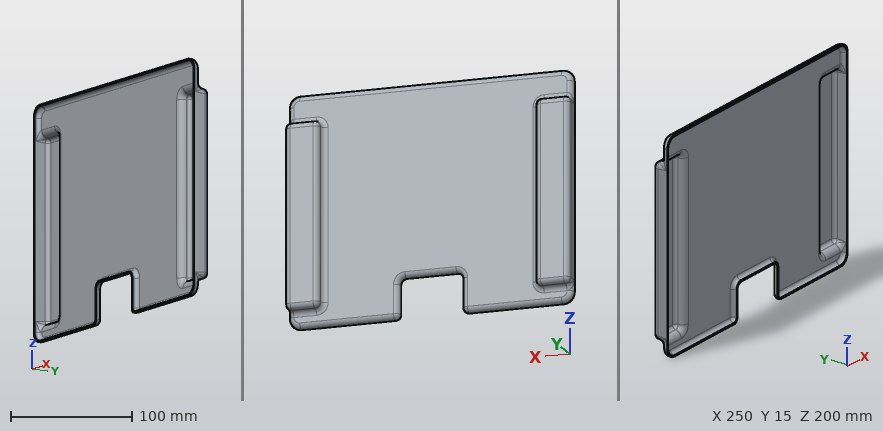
import cadquery as cq
import math

width = 250.0
height = 200.0
total_depth = 15.0
tray_depth = 6.0
wall = 1.5

corner_radius = 10.0
edge_radius = 5.0

notch_width = 55.0
notch_height = 35.0

pocket_floor_top = 70.0
pocket_floor_bottom = -80.0
pocket_floor_inner_x = 100.0
pocket_draft = math.radians(6.5)
blend_radius = 5.0

overrun = 25.0
tolerance = 0.02


def outline(points):
    """Closed outline of (x, z) points at y = 0, ready to extrude towards +Y."""
    front_plane = cq.Plane(origin=(0, 0, 0), xDir=(-1, 0, 0), normal=(0, 1, 0))
    return cq.Workplane(front_plane).polyline([(-x, z) for x, z in points]).close()


def back_edges(body, depth):
    """Edges that reach the back of a body."""
    return [edge for edge in body.edges().vals() if edge.BoundingBox().ymax > depth - tolerance]


def corners(body, x, z):
    """Edges along Y at (x, z) and at its mirror image (-x, z)."""
    found = []
    for edge in body.edges("|Y").vals():
        center = edge.Center()
        if abs(abs(center.x) - x) < tolerance and abs(center.z - z) < tolerance:
            found.append(edge)
    return found


def tray(inset):
    """Notched tray body; inset shifts every face except the open front inwards."""
    depth = tray_depth - inset
    side = width / 2 - inset
    top = height / 2 - inset
    notch_side = notch_width / 2 + inset
    notch_top = -height / 2 + notch_height + inset

    body = outline([
        (-side, -top),
        (-notch_side, -top),
        (-notch_side, notch_top),
        (notch_side, notch_top),
        (notch_side, -top),
        (side, -top),
        (side, top),
        (-side, top),
    ]).extrude(depth)

    outer_corners = corners(body, side, top) + corners(body, side, -top)
    body = body.newObject(outer_corners).fillet(corner_radius - inset)
    body = body.newObject(corners(body, notch_side, notch_top)).fillet(edge_radius + inset)
    mouth_corners = corners(body, notch_side, -top)
    return body.newObject(mouth_corners + back_edges(body, depth)).fillet(edge_radius - inset)


def pocket(inset):
    """Pocket body on the -X side, with leaning walls and rounded back edges."""
    radius = edge_radius - inset
    depth = total_depth - inset

    rounding_center_y = total_depth - edge_radius
    reach = radius / math.cos(pocket_draft) + rounding_center_y * math.tan(pocket_draft)

    inner = -pocket_floor_inner_x + reach
    outer = -width / 2 - overrun
    top = pocket_floor_top + reach
    bottom = pocket_floor_bottom - reach
    block = outline([(outer, bottom), (inner, bottom), (inner, top), (outer, top)])
    block = block.extrude(depth, taper=math.degrees(pocket_draft))

    between_sides = cq.Workplane("XY").box(width - 2 * inset, 2 * total_depth, height)
    block = block.intersect(between_sides)
    return block.newObject(back_edges(block, depth)).fillet(radius)


def skin(inset):
    """Tray and both pockets joined, with hollow blends where they meet."""
    left_pocket = pocket(inset)
    body = tray(inset).union(left_pocket).union(left_pocket.mirror("YZ"))

    seams = []
    for edge in body.edges("|X").vals():
        center = edge.Center()
        on_floor = abs(center.y - (tray_depth - inset)) < tolerance
        beside_pocket = abs(center.x) > pocket_floor_inner_x
        if on_floor and beside_pocket and abs(center.z) < height / 2 - edge_radius - tolerance:
            seams.append(edge)
    return body.newObject(seams).fillet(blend_radius + inset)


result = skin(0).cut(skin(wall))